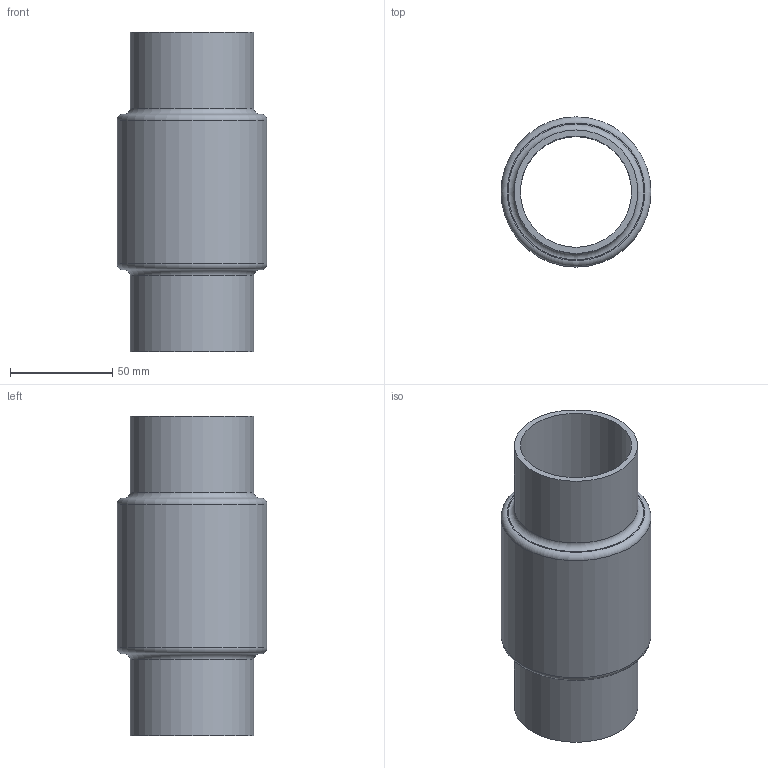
import cadquery as cq

total_length = 156.0
pipe_diameter = 60.3
bore_diameter = 54.3
sleeve_diameter = 73.2
sleeve_length = 76.0
shoulder_radius = 3.0


def centred_cylinder(diameter, length):
    """Cylinder along Z, centred on the origin."""
    return cq.Workplane("XY").workplane(offset=-length / 2).circle(diameter / 2).extrude(length)


def make_sleeve():
    """Thick middle sleeve with both outer rims rounded."""
    sleeve = centred_cylinder(sleeve_diameter, sleeve_length)
    return sleeve.faces("|Z").edges().fillet(shoulder_radius)


def make_root_fillet():
    """Concave ring blending the upper end of the sleeve into the pipe."""
    pipe_radius = pipe_diameter / 2
    shoulder_z = sleeve_length / 2
    root_outer_radius = pipe_radius + shoulder_radius
    root_top_z = shoulder_z + shoulder_radius
    arc_drop = shoulder_radius * (1 - 0.5**0.5)
    bore_radius = bore_diameter / 2
    return (
        cq.Workplane("XZ")
        .moveTo(bore_radius, shoulder_z)
        .lineTo(root_outer_radius, shoulder_z)
        .threePointArc((pipe_radius + arc_drop, shoulder_z + arc_drop), (pipe_radius, root_top_z))
        .lineTo(bore_radius, root_top_z)
        .close()
        .revolve(360, (0, 0, 0), (0, 1, 0))
    )


upper_root = make_root_fillet()
lower_root = upper_root.mirror("XY")

pipe = centred_cylinder(pipe_diameter, total_length)
body = pipe.union(make_sleeve()).union(upper_root).union(lower_root)

result = body.cut(centred_cylinder(bore_diameter, total_length))